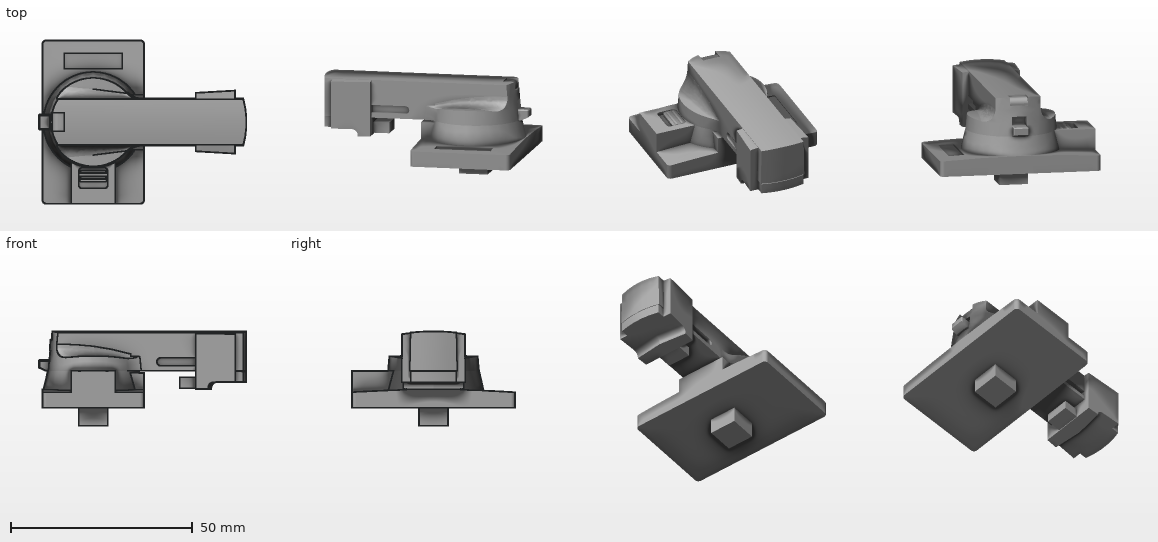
import cadquery as cq
import math


plate_length_x = 28.0
plate_length_y = 44.9
plate_edge_height = 4.3
plate_crest_height = 5.05
plate_corner_radius = 1.15

shaft_side = 8.0
shaft_length = 5.0

knob_bottom = 10.2
collar_bottom_radius = 13.7
collar_top_radius = 12.5
front_pad_width = 12.0
side_pad_width = 15.1
side_pad_height = 9.6

latch_pocket_width = 8.0
latch_pocket_near = -12.6
latch_pocket_far = -18.25
latch_pocket_depth = 1.1
latch_corner_radius = 1.0
latch_far = -16.45
latch_height = 0.8
latch_rib_count = 2
latch_rib_length = 7.2
latch_rib_width = 0.75
latch_rib_pitch = 1.65
first_rib_y = -13.65
latch_rib_draft = 25.0

name_recess_length = 15.85
name_recess_width = 4.3
name_recess_y = 16.75
name_recess_depth = 0.4

knob_bottom_radius = collar_top_radius
knob_draft = 5.1
web_radius = 5.0
shoulder_crest_height = 14.25
shoulder_crown_radius = 66.3
shoulder_fillet_at_axis = 2.7
shoulder_fillet_slope = -0.13

arm_top = 21.05
arm_half_width_bottom = 6.5
arm_half_width_top = 6.3
arm_tip_x = 42.1
arm_tip_radius = 23.9
arm_tip_sagitta = arm_tip_radius - math.sqrt(arm_tip_radius**2 - arm_half_width_bottom**2)
crown_radius = 57.15

slot_start_x = 17.5
slot_width = 2.2
slot_middle_height = 12.65
slot_depth = 1.4

slider_start_x = 28.1
slider_end_x = 39.0
slider_half_width_start = 8.05
slider_half_width_end = 8.7
slider_bottom = 5.15
slider_step_height = 7.1
slider_top_drop = 0.1
notch_radius = 1.65
notch_outer_x = 31.55
notch_middle_x = 32.45

parting_height = 0.2
parting_depth = 0.3

tongue_start_x = 23.7
tongue_width = 6.85
tongue_bottom = 5.4
tongue_top = 8.4

tab_tip_x = -15.05
tab_width = 4.2
tab_top = 13.15
tab_tip_bottom = 11.1
tab_heel_x = -13.05
tab_edge_chamfer = 0.3
opening_top = 15.65
opening_back_x = -8.6
recess_width = 5.05
recess_back_x = -8.0
recess_flat_x = -9.5
recess_floor = 20.65
recess_front_x = -11.2
recess_roll_bottom = 19.2
recess_bottom = 18.65

clearance = 2.85
overlap = 0.6

arc_middle = math.sqrt(0.5)


def block(x_start, x_end, y_start, y_end, z_start, z_end):
    """Box given by its limits along each axis."""
    size = (x_end - x_start, y_end - y_start, z_end - z_start)
    return cq.Workplane("XY").box(*size, centered=False).translate((x_start, y_start, z_start))


def crown_height(y):
    """Height of the crowned top of the arm at a distance y from its middle."""
    return arm_top - crown_radius + math.sqrt(crown_radius**2 - y**2)


def crowned_section(half_bottom, half_top, bottom, x_start, x_end):
    """Bar along X with drafted sides and the crowned top of the arm."""
    side_top = crown_height(half_top)
    return (
        cq.Workplane("YZ", origin=(x_start, 0, 0))
        .moveTo(-half_bottom, bottom)
        .lineTo(half_bottom, bottom)
        .lineTo(half_top, side_top)
        .threePointArc((0, arm_top), (-half_top, side_top))
        .close()
        .extrude(x_end - x_start)
    )


def make_plate():
    half_y = plate_length_y / 2
    plate = (
        cq.Workplane("YZ")
        .moveTo(-half_y, 0)
        .lineTo(half_y, 0)
        .lineTo(half_y, plate_edge_height)
        .threePointArc((0, plate_crest_height), (-half_y, plate_edge_height))
        .close()
        .extrude(plate_length_x / 2, both=True)
        .edges("|Z")
        .fillet(plate_corner_radius)
    )
    name_recess = cq.Workplane("XY").box(name_recess_length, name_recess_width, 2 * name_recess_depth)
    sagitta = plate_crest_height - plate_edge_height
    surface_height = plate_crest_height - sagitta * (name_recess_y / half_y) ** 2
    plate = plate.cut(name_recess.translate((0, name_recess_y, surface_height)))
    shaft = cq.Workplane("XY").rect(shaft_side, shaft_side).extrude(-shaft_length)
    return plate.union(shaft)


def make_collar():
    draft = math.degrees(
        math.atan((collar_bottom_radius - collar_top_radius) / (knob_bottom - plate_crest_height))
    )
    return (
        cq.Workplane("XY", origin=(0, 0, knob_bottom))
        .circle(collar_top_radius)
        .extrude(plate_edge_height - knob_bottom, taper=-draft)
    )


def make_latch_shape(y_far, height):
    """Rounded rectangle standing on the floor of the latch pocket."""
    length = latch_pocket_near - y_far
    middle_y = (latch_pocket_near + y_far) / 2
    return (
        cq.Workplane("XY", origin=(0, middle_y, knob_bottom - latch_pocket_depth))
        .rect(latch_pocket_width, length)
        .extrude(height)
        .edges("|Z")
        .fillet(latch_corner_radius)
    )


def make_pads():
    half_front = front_pad_width / 2
    front_pad = block(-half_front, half_front, -plate_length_y / 2, 0, 0, knob_bottom)
    half_side = side_pad_width / 2
    side_pad = block(0, plate_length_x / 2, -half_side, half_side, 0, side_pad_height)
    return front_pad.union(side_pad)


def make_latch():
    latch = make_latch_shape(latch_far, latch_height)
    rib_bottom = knob_bottom - latch_pocket_depth + latch_height
    for index in range(latch_rib_count):
        rib_y = first_rib_y - index * latch_rib_pitch
        rib = (
            cq.Workplane("XY", origin=(0, rib_y, rib_bottom))
            .rect(latch_rib_length, latch_rib_width)
            .extrude(latch_pocket_depth - latch_height, taper=latch_rib_draft)
        )
        latch = latch.union(rib)
    return latch


def knob_radius(height):
    """Radius of the drafted knob at a given height."""
    return knob_bottom_radius - (height - knob_bottom) * math.tan(math.radians(knob_draft))


def arm_half_width(height):
    """Half width of the arm between its drafted sides at a given height."""
    rise = (height - knob_bottom) / (arm_top - knob_bottom)
    return arm_half_width_bottom - rise * (arm_half_width_bottom - arm_half_width_top)


def web_wire(height):
    """Section of the webs: concave arcs touching the round knob and both arm sides."""
    side = arm_half_width(height)
    radius = knob_radius(height)
    center_y = side + web_radius
    center_distance = radius + web_radius
    center_x = math.sqrt(center_distance**2 - center_y**2)
    touch_x = center_x * radius / center_distance
    touch_y = center_y * radius / center_distance
    touch_angle = math.atan2(touch_y - center_y, touch_x - center_x)
    middle_angle = (touch_angle - math.pi / 2) / 2
    middle_x = center_x + web_radius * math.cos(middle_angle)
    middle_y = center_y + web_radius * math.sin(middle_angle)
    outline = (
        cq.Workplane("XY", origin=(0, 0, height))
        .moveTo(touch_x, -touch_y)
        .threePointArc((middle_x, -middle_y), (center_x, -side))
        .lineTo(center_x, side)
        .threePointArc((middle_x, middle_y), (touch_x, touch_y))
        .close()
    )
    return outline.val()


def make_tapered_knob():
    """Full-height round knob with a concave web running into each side of the arm."""
    cone = (
        cq.Workplane("XY", origin=(0, 0, knob_bottom))
        .circle(knob_bottom_radius)
        .extrude(arm_top - knob_bottom + clearance, taper=knob_draft)
    )
    web_sections = [web_wire(knob_bottom), web_wire(shoulder_crest_height)]
    return cone.union(cq.Workplane(cq.Solid.makeLoft(web_sections, True)))


def shoulder_height(x):
    """Height of the shoulder, crowned along X, beside the arm."""
    drop = shoulder_crown_radius - math.sqrt(shoulder_crown_radius**2 - x**2)
    return shoulder_crest_height - drop


def make_shoulder():
    reach = knob_bottom_radius + clearance
    end_height = shoulder_height(reach)
    return (
        cq.Workplane("XZ")
        .moveTo(-reach, knob_bottom)
        .lineTo(reach, knob_bottom)
        .lineTo(reach, end_height)
        .threePointArc((0, shoulder_crest_height), (-reach, end_height))
        .close()
        .extrude(reach, both=True)
    )


def shoulder_fillet_wire(x):
    """Section of the concave fillet between the shoulder and the arm side."""
    radius = shoulder_fillet_at_axis + shoulder_fillet_slope * x
    floor = shoulder_height(x)
    side = arm_half_width(floor + radius)
    inset = radius * (1 - arc_middle)
    outline = (
        cq.Workplane("YZ", origin=(x, 0, 0))
        .moveTo(0, floor - overlap)
        .lineTo(side + radius, floor - overlap)
        .lineTo(side + radius, floor)
        .threePointArc((side + inset, floor + inset), (side, floor + radius))
        .lineTo(0, floor + radius)
        .close()
    )
    return outline.val()


def make_shoulder_fillet():
    reach = knob_bottom_radius + clearance / 2
    sections = [shoulder_fillet_wire(x) for x in (-reach, 0, reach)]
    half = cq.Workplane(cq.Solid.makeLoft(sections))
    return half.union(half.mirror("XZ"))


def make_knob():
    """Low part of the knob: the shoulders with their fillets up to the arm."""
    envelope = make_shoulder().union(make_shoulder_fillet())
    return make_tapered_knob().intersect(envelope)


def make_arm():
    """Arm with its far end rounded and its near end following the round of the knob."""
    half_bar = arm_half_width_bottom
    bar = crowned_section(half_bar, arm_half_width_top, knob_bottom, tab_tip_x, arm_tip_x)
    free_length = block(0, arm_tip_x, -half_bar, half_bar, knob_bottom, arm_top + clearance)
    arm = bar.intersect(make_tapered_knob().union(free_length))
    slot_floor_y = arm_half_width_bottom - slot_depth
    slot_end_x = slider_start_x + clearance
    slot = (
        cq.Workplane("XZ", origin=((slot_start_x + slot_end_x) / 2, -slot_floor_y, slot_middle_height))
        .slot2D(slot_end_x - slot_start_x, slot_width)
        .extrude(slot_depth + clearance)
    )
    arm = arm.cut(slot).cut(slot.mirror("XZ"))
    half_foot = arm_half_width_top
    half_core = half_foot - parting_depth
    foot_top = knob_bottom - parting_height
    foot = block(slider_start_x, arm_tip_x, -half_foot, half_foot, slider_step_height, foot_top)
    tip_side_x = arm_tip_x - arm_tip_sagitta
    core_end_x = tip_side_x - parting_depth
    core = block(slider_start_x, core_end_x, -half_core, half_core, slider_step_height, knob_bottom)
    plan = (
        cq.Workplane("XY")
        .moveTo(tab_tip_x, -half_bar)
        .lineTo(tip_side_x, -half_bar)
        .threePointArc((arm_tip_x, 0), (tip_side_x, half_bar))
        .lineTo(tab_tip_x, half_bar)
        .close()
        .extrude(arm_top + clearance)
    )
    return arm.union(foot).union(core).intersect(plan)


def notch_wire(y, start_x):
    """Section of the finger notch: a quarter round opening onto the step behind it."""
    end_x = start_x + notch_radius
    corner = notch_radius * arc_middle
    center_height = slider_step_height - notch_radius
    outline = (
        cq.Workplane("XZ", origin=(0, y, 0))
        .moveTo(start_x, 0)
        .lineTo(start_x, center_height)
        .threePointArc((end_x - corner, center_height + corner), (end_x, slider_step_height))
        .lineTo(slider_end_x + clearance, slider_step_height)
        .lineTo(slider_end_x + clearance, 0)
        .close()
    )
    return outline.val()


def make_slider():
    plan = (
        cq.Workplane("XY", origin=(0, 0, slider_bottom))
        .moveTo(slider_start_x, -slider_half_width_start)
        .lineTo(slider_end_x, -slider_half_width_end)
        .lineTo(slider_end_x, slider_half_width_end)
        .lineTo(slider_start_x, slider_half_width_start)
        .close()
        .extrude(arm_top - slider_bottom)
    )
    crown = crowned_section(
        slider_half_width_end, slider_half_width_end, 0, slider_start_x, slider_end_x
    ).translate((0, 0, -slider_top_drop))
    slider = plan.intersect(crown)
    notch_sections = [
        notch_wire(-slider_half_width_end, notch_outer_x),
        notch_wire(0, notch_middle_x),
    ]
    notch = cq.Workplane(cq.Solid.makeLoft(notch_sections, True))
    slider = slider.cut(notch).cut(notch.mirror("XZ"))
    half_tongue = tongue_width / 2
    tongue = block(
        tongue_start_x, slider_start_x, -half_tongue, half_tongue, tongue_bottom, tongue_top
    )
    return slider.union(tongue)


def make_opening():
    half = tab_width / 2
    return block(tab_tip_x, opening_back_x, -half, half, knob_bottom, opening_top)


def make_tab():
    root_x = opening_back_x + clearance
    return (
        cq.Workplane("XZ")
        .moveTo(tab_tip_x, tab_top)
        .lineTo(root_x, tab_top)
        .lineTo(root_x, knob_bottom)
        .lineTo(tab_heel_x, knob_bottom)
        .lineTo(tab_tip_x, tab_tip_bottom)
        .close()
        .extrude(tab_width / 2, both=True)
        .edges(">Z or (<X and |Z)")
        .chamfer(tab_edge_chamfer)
    )


def make_recess():
    """Notch in the knob end whose floor rolls over towards the pointer tab."""
    roll_run = recess_flat_x - recess_front_x
    roll_drop = recess_floor - recess_roll_bottom
    return (
        cq.Workplane("XZ")
        .moveTo(recess_back_x, arm_top + clearance)
        .lineTo(recess_back_x, recess_floor)
        .lineTo(recess_flat_x, recess_floor)
        .threePointArc(
            (
                recess_flat_x - roll_run * arc_middle,
                recess_roll_bottom + roll_drop * arc_middle,
            ),
            (recess_front_x, recess_roll_bottom),
        )
        .lineTo(recess_front_x, recess_bottom)
        .lineTo(tab_tip_x, recess_bottom)
        .lineTo(tab_tip_x, arm_top + clearance)
        .close()
        .extrude(recess_width / 2, both=True)
    )


base = make_plate().union(make_collar()).union(make_pads())
base = base.cut(make_latch_shape(latch_pocket_far, latch_pocket_depth)).union(make_latch())
lever = make_knob().union(make_arm()).union(make_slider())
lever = lever.cut(make_opening()).cut(make_recess()).union(make_tab())
result = base.union(lever)